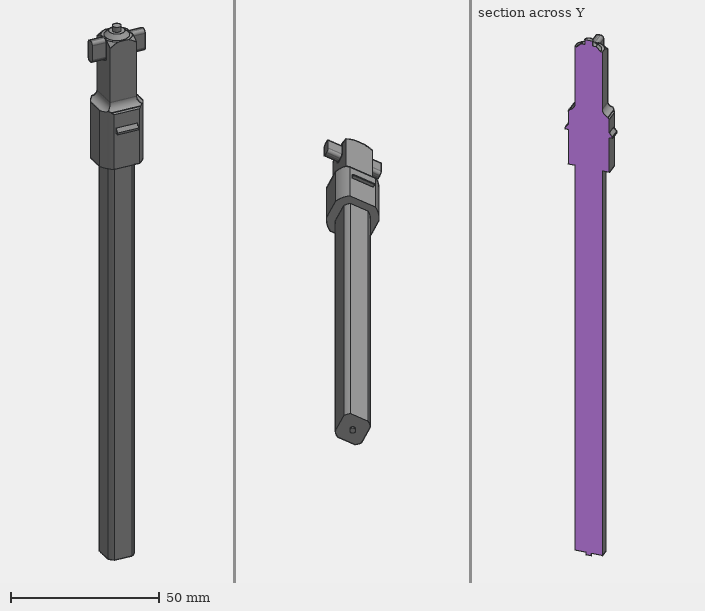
import cadquery as cq

bar_width = 10.0
bar_corner_diameter = 12.0
collar_bottom_z = 151.5

collar_diameter = 17.8
collar_width_x = 15.0
collar_width_y = 16.4
collar_top_z = 173.0
collar_chamfer = 0.5

head_width = 10.0
head_top_z = 198.5
flare_radius = 3.0
corner_cone_diameter = 10.7

cone_base_diameter = 8.7
cone_top_diameter = 5.5
cone_height = 1.6
tip_pin_diameter = 3.0
tip_z = 202.0
foot_pin_diameter = 2.0
foot_pin_length = 1.0

fin_span = 20.0
fin_width = 3.1
fin_height = 8.0
fin_edge_radius = 1.2
recess_clearance = 0.5
recess_depth = 0.15

ridge_span = 17.2
ridge_width = 8.0
ridge_height = 2.1
ridge_lip = 0.7
ridge_bottom_z = 165.1


def cylinder(diameter, bottom_z, top_z):
    return cq.Workplane("XY").workplane(offset=bottom_z).circle(diameter / 2).extrude(top_z - bottom_z)


def box(width_x, width_y, bottom_z, top_z):
    return cq.Workplane("XY").workplane(offset=bottom_z).rect(width_x, width_y).extrude(top_z - bottom_z)


def make_bar():
    square = box(bar_width, bar_width, 0, collar_bottom_z)
    return square.intersect(cylinder(bar_corner_diameter, 0, collar_bottom_z))


def make_collar():
    block = box(collar_width_x, collar_width_y, collar_bottom_z, collar_top_z)
    block = block.faces(">Z").edges("|Y").chamfer(collar_chamfer)
    return block.intersect(cylinder(collar_diameter, collar_bottom_z, collar_top_z))


def make_flare():
    """Concave flare from the head down to the collar, mitred at the four corners."""
    outer_width = head_width + 2 * flare_radius
    flare = box(outer_width, outer_width, collar_top_z, collar_top_z + flare_radius)
    for angle in (0, 90, 180, 270):
        groove = (
            cq.Workplane("XZ")
            .center(outer_width / 2, collar_top_z + flare_radius)
            .circle(flare_radius)
            .extrude(outer_width, both=True)
        )
        flare = flare.cut(groove.rotate((0, 0, 0), (0, 0, 1), angle))
    collar_top_width = collar_width_x - 2 * collar_chamfer
    collar_top = box(collar_top_width, collar_width_y, collar_top_z, collar_top_z + flare_radius)
    collar_round = cylinder(collar_diameter, collar_top_z, collar_top_z + flare_radius)
    return flare.intersect(collar_top).intersect(collar_round)


def make_head():
    """Square head with its top corners turned off by a 45 degree cone."""
    head = box(head_width, head_width, collar_top_z, head_top_z)
    cone_drop = head_width - corner_cone_diameter / 2
    turned_blank = cylinder(2 * head_width, collar_top_z, head_top_z)
    return head.intersect(turned_blank.faces(">Z").edges().chamfer(cone_drop))


def fin_bar(span, clearance):
    """Bar along y with rounded long edges, enlarged by the clearance all around its section."""
    bottom_z = head_top_z - fin_height - clearance
    bar = box(fin_width + 2 * clearance, span, bottom_z, head_top_z + clearance)
    return bar.edges("|Y").fillet(fin_edge_radius + clearance)


def make_recesses():
    """Cutter for the shallow recess around the root of each fin."""
    core_width = head_width - 2 * recess_depth
    core = box(core_width, core_width, collar_top_z, head_top_z)
    return fin_bar(head_width, recess_clearance).cut(core)


def make_cone():
    base = cq.Workplane("XY").workplane(offset=head_top_z).circle(cone_base_diameter / 2)
    return base.workplane(offset=cone_height).circle(cone_top_diameter / 2).loft()


def make_ridge():
    profile = [
        (collar_width_x / 2, ridge_bottom_z),
        (ridge_span / 2, ridge_bottom_z),
        (ridge_span / 2, ridge_bottom_z + ridge_lip),
        (collar_width_x / 2, ridge_bottom_z + ridge_height),
    ]
    return cq.Workplane("XZ").polyline(profile).close().extrude(ridge_width / 2, both=True)


ridge = make_ridge()
result = make_bar().union(make_collar()).union(make_flare())
result = result.union(make_head()).cut(make_recesses()).union(fin_bar(fin_span, 0))
result = result.union(make_cone())
result = result.union(ridge).union(ridge.mirror("YZ"))
result = result.union(cylinder(tip_pin_diameter, head_top_z, tip_z))
result = result.union(cylinder(foot_pin_diameter, -foot_pin_length, 0))